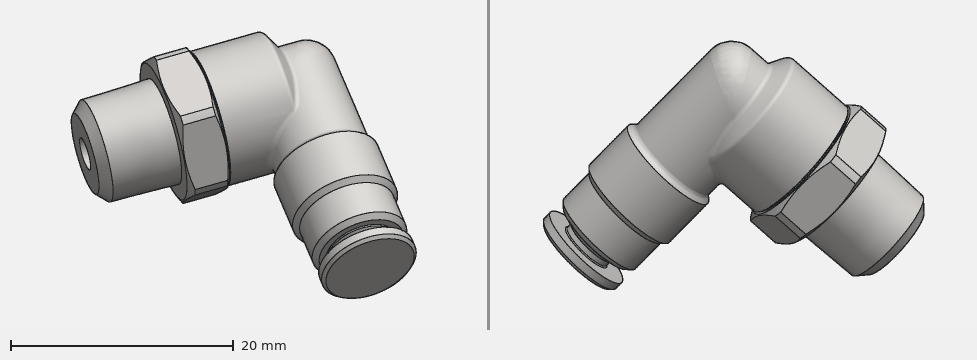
import cadquery as cq
import math


tube_radius = 4.5
bend_share = 0.57
bend_sections = 9
blend_radius = 0.45

collar_radius = 5.0
collar_full = 8.49
collar_foot = collar_full - (collar_radius - tube_radius)
collar_end = 13.57
sleeve_start = collar_end + (collar_radius - tube_radius)
sleeve_end = 18.0
sleeve_chamfer = 0.5

ring_lip_radius = 3.35
ring_lip_end = 18.15
ring_neck_radius = 2.45
ring_neck_start = 18.63
ring_neck_chamfer = 0.1
ring_flange_start = 19.27
ring_flange_chamfer = 0.3
arm_length = 20.37

shoulder_top = 0.47
shoulder_bottom = 1.58
body_radius = 6.27
body_bottom = 8.32
gap_radius = 6.08

hex_top = 8.49
hex_bottom = 12.52
hex_across_flats = 13.0
hex_corner_radius = 7.27
hex_face_radius = 6.38
hex_chamfer_height = 0.47

thread_top_radius = 4.95
thread_end_radius = 4.78
thread_chamfer = 1.0
thread_end = 19.98
bore_radius = 1.5

edge_margin = 0.03


def revolve_along_x(stations):
    """Solid of revolution about X from (position, radius) stations."""
    outline = [(stations[0][0], 0)] + stations + [(stations[-1][0], 0)]
    return cq.Workplane("XY").polyline(outline).close().revolve(360, (0, 0), (1, 0))


def revolve_down(stations):
    """Solid of revolution about -Y from (depth, radius) stations."""
    return revolve_along_x(stations).rotate((0, 0, 0), (0, 0, 1), -90)


def keep_inside(shape, outline):
    """Part of a shape that lies inside an XY outline."""
    prism = cq.Workplane("XY").polyline(outline).close().extrude(2 * tube_radius, both=True)
    return shape.intersect(prism)


def half_ellipse(x, y):
    """Half ellipse from pole to pole on the Z axis, reaching out to (x, y)."""
    plane = cq.Plane(origin=(0, 0, 0), xDir=(x, y, 0), normal=(y, -x, 0))
    arc = cq.Workplane(plane).ellipseArc(
        math.hypot(x, y), tube_radius, -90, 90, startAtCurrent=False
    )
    return arc.edges().val()


def make_bend():
    """Wedge of the elbow whose outer corner rounds off in proportion to its width."""
    center = tube_radius * (1 - bend_share)
    radius = tube_radius * bend_share
    arcs = []
    for i in range(bend_sections):
        angle = math.pi / 2 * (1 + i / (bend_sections - 1))
        x = radius * math.cos(angle) - center
        y = radius * math.sin(angle) + center
        arcs.append(half_ellipse(x, y))
    outer = cq.occ_impl.shapes.loft(*arcs)
    ends = []
    for arc in (arcs[0], arcs[-1]):
        chord = cq.Edge.makeLine(arc.endPoint(), arc.startPoint())
        ends.append(cq.Face.makeFromWires(cq.Wire.assembleEdges([arc, chord])))
    return cq.Workplane(cq.occ_impl.shapes.solid(outer, *ends))


def make_tube_arm():
    """Tube, collar and sleeve, cut back on a slant where the bend starts."""
    arm = revolve_along_x([
        (-tube_radius, tube_radius),
        (collar_foot, tube_radius),
        (collar_full, collar_radius),
        (collar_end, collar_radius),
        (sleeve_start, tube_radius),
        (sleeve_end - sleeve_chamfer, tube_radius),
        (sleeve_end, tube_radius - sleeve_chamfer),
    ])
    collar_edge = cq.selectors.BoxSelector(
        (collar_foot - edge_margin, -tube_radius, -tube_radius),
        (collar_foot + edge_margin, tube_radius, tube_radius),
    )
    arm = arm.edges(collar_edge).fillet(blend_radius)
    bend_start = -tube_radius * (1 - bend_share)
    return keep_inside(arm, [
        (0, 0),
        (bend_start, tube_radius),
        (bend_start, collar_radius),
        (arm_length, collar_radius),
        (arm_length, -collar_radius),
        (0, -collar_radius),
    ])


def make_release_ring():
    """Necked push ring with a flange."""
    return revolve_along_x([
        (sleeve_end, ring_lip_radius),
        (ring_lip_end, ring_lip_radius),
        (ring_neck_start, ring_neck_radius),
        (ring_flange_start - ring_neck_chamfer, ring_neck_radius),
        (ring_flange_start, ring_neck_radius + ring_neck_chamfer),
        (ring_flange_start, tube_radius),
        (arm_length - ring_flange_chamfer, tube_radius),
        (arm_length, tube_radius - ring_flange_chamfer),
    ])


def make_neck():
    """Short vertical tube between the bend and the body."""
    neck = revolve_down([(-tube_radius, tube_radius), (shoulder_bottom, tube_radius)])
    bend_end = tube_radius * (1 - bend_share)
    return keep_inside(neck, [
        (0, 0),
        (-tube_radius, bend_end),
        (-tube_radius, -shoulder_bottom),
        (tube_radius, -shoulder_bottom),
        (tube_radius, 0),
    ])


def make_body():
    """Round body with a conical shoulder, rounded at its outer edge."""
    body = revolve_down([
        (shoulder_top, tube_radius),
        (shoulder_bottom, body_radius),
        (body_bottom, body_radius),
    ])
    shoulder_edge = cq.selectors.BoxSelector(
        (-body_radius, -shoulder_bottom - edge_margin, -body_radius),
        (body_radius, -shoulder_bottom + edge_margin, body_radius),
    )
    return body.edges(shoulder_edge).fillet(blend_radius)


def make_hexagon():
    """Hexagon with trimmed corners and chamfered faces, two flats facing up and down."""
    across_corners = hex_across_flats / math.cos(math.pi / 6)
    blank = (
        cq.Workplane("XZ", origin=(0, -hex_top, 0))
        .polygon(6, across_corners)
        .extrude(hex_bottom - hex_top)
    )
    envelope = revolve_down([
        (hex_top, hex_face_radius),
        (hex_top + hex_chamfer_height, hex_corner_radius),
        (hex_bottom - hex_chamfer_height, hex_corner_radius),
        (hex_bottom, hex_face_radius),
    ])
    return blank.intersect(envelope)


def make_threaded_end():
    """Tapered stub with a chamfered tip."""
    return revolve_down([
        (hex_bottom, thread_top_radius),
        (thread_end - thread_chamfer, thread_end_radius),
        (thread_end, thread_end_radius - thread_chamfer),
    ])


elbow = make_tube_arm().union(make_neck()).union(make_bend()).union(make_body())
seam_edges = cq.selectors.BoxSelector(
    (-tube_radius - edge_margin, -tube_radius - edge_margin, -body_radius),
    (body_radius + edge_margin, -shoulder_top + edge_margin, body_radius),
    boundingbox=True,
)
elbow = elbow.edges(seam_edges).fillet(blend_radius)

gap = revolve_down([(body_bottom, gap_radius), (hex_top, gap_radius)])
bore = revolve_down([(0, bore_radius), (thread_end, bore_radius)])
result = (
    elbow.union(gap)
    .union(make_hexagon())
    .union(make_threaded_end())
    .union(make_release_ring())
    .cut(bore)
)